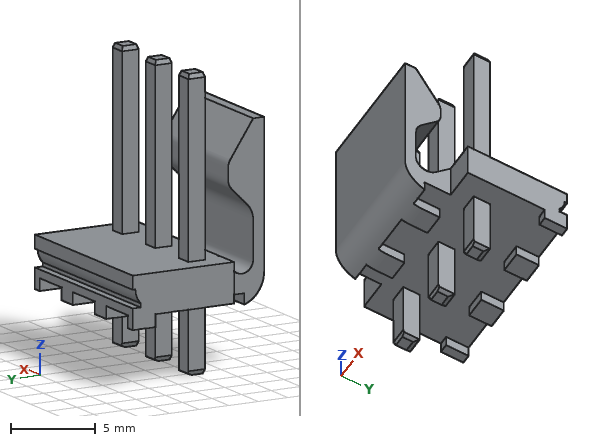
import cadquery as cq
import math

PIN_COUNT = 3
PIN_PITCH = 3.97
PIN_WIDTH = 1.13
PIN_BOTTOM = -3.6
PIN_LENGTH = 18.29
TIP_LENGTH = 0.3
TIP_INSET = 0.11

BODY_WIDTH = 11.72
BODY_BACK = 5.08
BODY_FRONT = -1.77
BODY_TOP = 3.31
BODY_UNDERSIDE = 0.79

REAR_FOOT_DEPTH = 1.55
FRONT_FOOT_DEPTH = 1.8
FOOT_GAP = 2.6

GROOVE_BOTTOM = 1.32
GROOVE_TOP = 2.45
GROOVE_TOP_DEPTH = 0.18
GROOVE_DEPTH = 0.53
GROOVE_RADIUS = 1.3

LATCH_WIDTH = 7.83
LATCH_FRONT = -4.92
LATCH_TOP = 11.32
ARM_THICKNESS = 0.75
HEEL_RADIUS = 1.95
RAMP_ANGLE = math.radians(45)
TROUGH_FLOOR = 2.0
NOSE_DEPTH = 2.45
NOSE_UPPER_CORNER = 8.78
NOSE_LOWER_CORNER = 7.45
NOSE_RADIUS = 0.93
NECK_RADIUS = 1.39

ARM_INNER = LATCH_FRONT + ARM_THICKNESS
NOSE_TIP = LATCH_FRONT + NOSE_DEPTH
PIN_XS = [(i - (PIN_COUNT - 1) / 2) * PIN_PITCH for i in range(PIN_COUNT)]


def block(width, y_front, y_back, z_bottom, z_top, x=0):
    """Box centred on x, given by its Y and Z limits."""
    box = cq.Workplane("XY").box(width, y_back - y_front, z_top - z_bottom, centered=(True, False, False))
    return box.translate((x, y_front, z_bottom))


def extrude_across(profile, width):
    """Extrude a YZ profile symmetrically along X."""
    return profile.extrude(width / 2, both=True)


def cut_pin_gaps(feet, y_front, y_back):
    """Split a bar into feet by clearing the space around each pin."""
    for x in PIN_XS:
        feet = feet.cut(block(FOOT_GAP, y_front, y_back, 0, BODY_UNDERSIDE, x))
    return feet


def make_body():
    slab = block(BODY_WIDTH, BODY_FRONT, BODY_BACK, BODY_UNDERSIDE, BODY_TOP)
    foot_front = BODY_BACK - REAR_FOOT_DEPTH
    bar = block(BODY_WIDTH, foot_front, BODY_BACK, 0, BODY_UNDERSIDE)
    return slab.union(cut_pin_gaps(bar, foot_front, BODY_BACK)).cut(make_groove())


def make_groove():
    """Undercut whose inner wall bulges outward, flattening to vertical at its top."""
    wall_top = BODY_BACK - GROOVE_TOP_DEPTH
    wall_bottom = BODY_BACK - GROOVE_DEPTH
    sweep = math.acos(1 - (wall_top - wall_bottom) / GROOVE_RADIUS)
    arc_end_z = GROOVE_TOP - GROOVE_RADIUS * math.sin(sweep)
    mid_y = wall_top - GROOVE_RADIUS * (1 - math.cos(sweep / 2))
    mid_z = GROOVE_TOP - GROOVE_RADIUS * math.sin(sweep / 2)
    profile = (
        cq.Workplane("YZ")
        .moveTo(BODY_BACK, GROOVE_TOP)
        .lineTo(wall_top, GROOVE_TOP)
        .threePointArc((mid_y, mid_z), (wall_bottom, arc_end_z))
        .lineTo(wall_bottom, GROOVE_BOTTOM)
        .lineTo(BODY_BACK, GROOVE_BOTTOM)
        .close()
    )
    return extrude_across(profile, BODY_WIDTH)


def make_latch():
    ramp_foot_y = BODY_FRONT - (BODY_TOP - TROUGH_FLOOR) / math.tan(RAMP_ANGLE)
    trough_radius = (ramp_foot_y - ARM_INNER) / (1 + math.tan(RAMP_ANGLE / 2))
    trough_y = ARM_INNER + trough_radius
    trough_z = TROUGH_FLOOR + trough_radius
    ramp_end_y = trough_y + trough_radius * math.sin(RAMP_ANGLE)
    ramp_end_z = trough_z - trough_radius * math.cos(RAMP_ANGLE)
    neck = (ARM_INNER, NOSE_LOWER_CORNER - (NOSE_TIP - ARM_INNER) * math.tan(RAMP_ANGLE))
    nose_lower = (NOSE_TIP, NOSE_LOWER_CORNER)
    nose_upper = (NOSE_TIP, NOSE_UPPER_CORNER)
    heel = (LATCH_FRONT, 0)
    profile = (
        cq.Workplane("YZ")
        .moveTo(BODY_FRONT, 0)
        .lineTo(BODY_FRONT, BODY_TOP)
        .lineTo(ramp_end_y, ramp_end_z)
        .threePointArc((trough_y, TROUGH_FLOOR), (ARM_INNER, trough_z))
        .lineTo(*neck)
        .lineTo(*nose_lower)
        .lineTo(*nose_upper)
        .lineTo(ARM_INNER, LATCH_TOP)
        .lineTo(LATCH_FRONT, LATCH_TOP)
        .lineTo(*heel)
        .close()
    )
    latch = extrude_across(profile, LATCH_WIDTH)
    rounded_corners = [
        (neck, NECK_RADIUS),
        (nose_lower, NOSE_RADIUS),
        (nose_upper, NOSE_RADIUS),
        (heel, HEEL_RADIUS),
    ]
    for (y, z), radius in rounded_corners:
        latch = latch.edges(cq.NearestToPointSelector((0, y, z))).fillet(radius)

    return cut_pin_gaps(latch, BODY_FRONT - FRONT_FOOT_DEPTH, BODY_FRONT)


def make_pin(x):
    """Square post with a short taper at both ends."""
    half = PIN_WIDTH / 2
    pin = block(PIN_WIDTH, -half, half, PIN_BOTTOM, PIN_BOTTOM + PIN_LENGTH)
    pin = pin.faces(">Z").chamfer(TIP_LENGTH, TIP_INSET)
    pin = pin.faces("<Z").chamfer(TIP_LENGTH, TIP_INSET)
    return pin.translate((x, 0, 0))


result = make_body().union(make_latch())
for pin_x in PIN_XS:
    result = result.union(make_pin(pin_x))